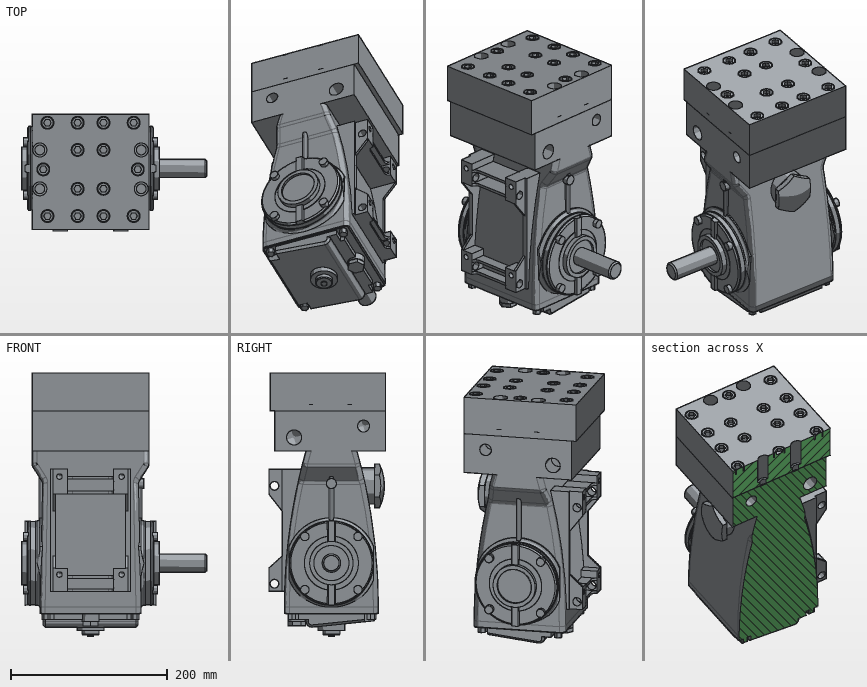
import cadquery as cq
import math


head_half_width = 74.6
head_back_y = 69.3
upper_front_y = -78.2
lower_front_y = -72.4
head_top_z = 242.7
head_split_z = 194.4
head_bottom_z = 142.8

screw_rows_center_y = -1.2
screw_outer_x = 55.0
screw_inner_x = 16.5
screw_middle_x = 60.3
screw_outer_y = 59.5
screw_inner_y = 24.8
screw_recess_radius = 8.2
screw_head_radius = 7.2
screw_recess_depth = 8.0
screw_socket_size = 9.6
screw_socket_depth = 5.0

bore_x = 64.7
bore_radius = 8.9
bore_depth = 40.0
bore_pilot_radius = 6.2

ports = [(41.0, 174.9, 7.6), (-47.6, 160.3, 9.6)]
port_depth = 30.0
drill_tip_angle = 118.0

shoulder_low_z = 124.0
waist_z = 103.0
waist_half_width = 61.1
base_half_width = 64.5
base_half_depth = 60.1
base_top_z = -56.1
base_bottom_z = -64.2
side_arc_radius = 735.0
case_corner_radius = 6.5
case_bend_radius = 8.0

side_rib_half_thickness = 3.0
side_rib_edge_radius = 2.0
side_rib_x = 65.9
side_rib_top_z = 116.0

boss_radius = 53.9
boss_flare_radius = 4.0
boss_flare_end_x = 68.2
boss_end_x = 76.8
boss_groove_x = 70.2
boss_groove_depth = 0.5
cover_face_x = 80.4
cover_rim_chamfer = 2.0
hub_radius = 27.7
hub_face_x = 87.8
hub_recess_radius = 22.4
hub_recess_depth = 3.0
collar_radius = 34.5
collar_height = 0.7
cover_rib_half_width = 5.3
cover_rib_top_half_width = 3.9
cover_rib_face_x = 83.7
cover_screw_radius = 5.4
cover_screw_circle_radius = 48.0
cover_screw_face_x = 85.7

shaft_radius = 11.8
shaft_end_x = 148.3
shaft_chamfer = 2.0

foot_front_y = -79.9
foot_outer_x = 48.1
foot_inner_x = 29.4
upper_foot_top_z = 119.9
upper_foot_bottom_z = 88.4
lower_foot_top_z = -6.8
lower_foot_bottom_z = -36.2
rail_front_y = -63.0
rail_outer_x = 51.2
rail_inner_x = 44.8
upper_gusset_run_z = 22.0
lower_gusset_run_z = 15.8
gusset_tip_run_z = 0.5
shelf_thickness = 3.4
shelf_fillet = 6.4
upper_shelf_top_z = 110.5
lower_shelf_top_z = -16.0
cross_hole_radius = 5.4
cross_hole_y = -72.7
cross_hole_z = [98.6, -26.3]
foot_hole_radius = 3.5
foot_hole_depth = 10.0
foot_hole_x = 39.7
foot_hole_z = [110.4, -14.6]

filler_z = 98.5
filler_neck_radius = 23.3
filler_cap_radius = 28.0
filler_cap_start_y = 55.1
filler_cap_flat_y = 61.3
filler_cap_apex_y = 68.0

plug_radius = 6.4
plug_z = 101.5
plug_end_x = 68.0

sump_flange_half_width = 62.5
sump_flange_half_depth = 57.9
sump_flange_thickness = 1.0
sump_half_width = 60.8
sump_back_y = 57.2
sump_front_y = -47.5
sump_back_z = -73.8
sump_low_y = -25.0
sump_low_z = -81.9
sump_step_y = -32.5
sump_shelf_z = -72.2
sump_edge_chamfer = 3.0
sump_notch_x = 46.5
sump_notch_y = 42.0
sump_bolt_x = 56.8
sump_bolt_y = 50.2
sump_bolt_size = 10.4
sump_bolt_bottom_z = -72.2
gauge_flange_radius = 17.2
gauge_flange_bottom_z = -86.3
gauge_radius = 11.0
gauge_bottom_z = -92.0
gauge_chamfer = 1.2
gauge_tip_radius = 4.0
gauge_tip_bottom_z = -93.45
drain_y = -44.3
drain_boss_radius = 11.0
drain_boss_bottom_z = -74.8
drain_hex_size = 22.5
drain_hex_bottom_z = -80.2

selection_margin = 0.5


def box(x_range, y_range, z_range):
    """Block spanning the given ranges."""
    (x0, x1), (y0, y1), (z0, z1) = x_range, y_range, z_range
    return cq.Workplane("XY").box(x1 - x0, y1 - y0, z1 - z0, centered=False).translate((x0, y0, z0))


def cylinder_x(radius, x0, x1, y=0.0, z=0.0):
    return cq.Workplane("YZ", origin=(x0, y, z)).circle(radius).extrude(x1 - x0)


def cylinder_z(radius, z0, z1, x=0.0, y=0.0):
    return cq.Workplane("XY", origin=(x, y, z0)).circle(radius).extrude(z1 - z0)


def hexagon_z(size, z0, z1, x=0.0, y=0.0, turn=0.0):
    """Hexagonal bar along Z, `size` across the corners, turned about its own axis."""
    bar = cq.Workplane("XY").polygon(6, size).extrude(z1 - z0)
    return bar.rotate((0, 0, 0), (0, 0, 1), turn).translate((x, y, z0))


def drilled_hole(radius, depth):
    """Blind hole with a conical tip, starting at the origin and running along +Z."""
    tip = radius / math.tan(math.radians(drill_tip_angle / 2))
    outline = [(0, 0), (radius, 0), (radius, depth), (0, depth + tip)]
    return cq.Workplane("XZ").polyline(outline).close().revolve(360, (0, 0, 0), (0, 1, 0))


def both_sides(shape):
    """The shape together with its mirror image across X = 0."""
    return shape.union(shape.mirror("YZ"))


def screw_places():
    places = []
    for side in (-1, 1):
        for row in (-1, 1):
            places.append((side * screw_outer_x, screw_rows_center_y + row * screw_outer_y))
            places.append((side * screw_inner_x, screw_rows_center_y + row * screw_outer_y))
            places.append((side * screw_inner_x, screw_rows_center_y + row * screw_inner_y))
        places.append((side * screw_middle_x, screw_rows_center_y))
    return places


def make_upper_block():
    block = box(
        (-head_half_width, head_half_width),
        (upper_front_y, head_back_y),
        (head_split_z, head_top_z),
    )
    recess_floor_z = head_top_z - screw_recess_depth
    for x, y in screw_places():
        gap = cylinder_z(screw_recess_radius, recess_floor_z, head_top_z, x, y)
        gap = gap.cut(cylinder_z(screw_head_radius, recess_floor_z, head_top_z, x, y))
        socket = hexagon_z(screw_socket_size, head_top_z - screw_socket_depth, head_top_z, x, y)
        block = block.cut(gap).cut(socket)
    for side in (-1, 1):
        for row in (-1, 1):
            x = side * bore_x
            y = screw_rows_center_y + row * screw_inner_y
            block = block.cut(cylinder_z(bore_radius, head_top_z - bore_depth, head_top_z, x, y))
            block = block.cut(cylinder_z(bore_pilot_radius, head_split_z, head_top_z, x, y))
    return block


def make_lower_block():
    block = box(
        (-head_half_width, head_half_width),
        (lower_front_y, head_back_y),
        (head_bottom_z, head_split_z),
    )
    for y, z, radius in ports:
        port = drilled_hole(radius, port_depth).rotate((0, 0, 0), (0, 1, 0), 90)
        block = block.cut(both_sides(port.translate((-head_half_width, y, z))))
    return block


def side_arc_half_depth(z):
    """Half depth of the crankcase at height z above the base band."""
    rise = z - base_top_z
    return base_half_depth - side_arc_radius + math.sqrt(side_arc_radius**2 - rise**2)


def make_side_profile():
    """Crankcase outline across Y, extruded well past the X walls."""
    middle_z = (base_top_z + head_bottom_z) / 2
    top_half_depth = side_arc_half_depth(head_bottom_z)
    middle_half_depth = side_arc_half_depth(middle_z)
    return (
        cq.Workplane("YZ")
        .moveTo(-base_half_depth, base_bottom_z)
        .lineTo(base_half_depth, base_bottom_z)
        .lineTo(base_half_depth, base_top_z)
        .threePointArc((middle_half_depth, middle_z), (top_half_depth, head_bottom_z))
        .lineTo(-top_half_depth, head_bottom_z)
        .threePointArc((-middle_half_depth, middle_z), (-base_half_depth, base_top_z))
        .close()
        .extrude(2 * head_half_width, both=True)
    )


def make_case():
    right_edge = [
        (base_half_width, base_bottom_z),
        (base_half_width, base_top_z),
        (waist_half_width, waist_z),
        (head_half_width, shoulder_low_z),
        (head_half_width, head_bottom_z),
    ]
    left_edge = [(-x, z) for x, z in reversed(right_edge)]
    front_profile = (
        cq.Workplane("XZ")
        .polyline(right_edge + left_edge)
        .close()
        .extrude(2 * base_half_depth, both=True)
    )
    bend_zone = cq.selectors.BoxSelector(
        (-2 * head_half_width, -3 * base_half_depth, waist_z - selection_margin),
        (2 * head_half_width, 3 * base_half_depth, shoulder_low_z + selection_margin),
    )
    front_profile = front_profile.edges("|Y").edges(bend_zone).fillet(case_bend_radius)
    case = front_profile.intersect(make_side_profile())
    return case.edges("not(#Z or |Y or |X)").fillet(case_corner_radius)


def make_bearing_cover():
    """Round boss with its cover; the flare at its foot is trimmed level with the boss in Y."""
    flare_radius = boss_radius + boss_flare_radius
    flare_drop = boss_flare_radius * (1 - math.sqrt(0.5))
    groove_radius = boss_radius - boss_groove_depth
    rim_radius = boss_radius - cover_rim_chamfer
    hub_floor_x = hub_face_x - hub_recess_depth
    cover = (
        cq.Workplane("XY")
        .moveTo(0, 0)
        .lineTo(0, flare_radius)
        .lineTo(boss_flare_end_x - boss_flare_radius, flare_radius)
        .threePointArc(
            (boss_flare_end_x - boss_flare_radius + flare_drop, boss_radius + flare_drop),
            (boss_flare_end_x, boss_radius),
        )
        .lineTo(boss_groove_x, boss_radius)
        .lineTo(boss_groove_x, groove_radius)
        .lineTo(boss_end_x, groove_radius)
        .lineTo(boss_end_x, boss_radius)
        .lineTo(cover_face_x - cover_rim_chamfer, boss_radius)
        .lineTo(cover_face_x, rim_radius)
        .lineTo(cover_face_x, collar_radius)
        .lineTo(cover_face_x + collar_height, collar_radius)
        .lineTo(cover_face_x + collar_height, hub_radius)
        .lineTo(hub_face_x, hub_radius)
        .lineTo(hub_face_x, hub_recess_radius)
        .lineTo(hub_floor_x, hub_recess_radius)
        .lineTo(hub_floor_x, 0)
        .close()
        .revolve(360, (0, 0, 0), (1, 0, 0))
    )
    slab = box((0, hub_face_x), (-boss_radius, boss_radius), (-flare_radius, flare_radius))
    cover = cover.intersect(slab)
    for turn in (45, 135, 225, 315):
        y = cover_screw_circle_radius * math.cos(math.radians(turn))
        z = cover_screw_circle_radius * math.sin(math.radians(turn))
        cover = cover.union(cylinder_x(cover_screw_radius, boss_end_x, cover_screw_face_x, y, z))
    return cover.union(make_cover_ribs())


def make_cover_ribs():
    """Tapered ribs running up and down from the hub to the rim."""
    outline = [
        (boss_end_x, -cover_rib_half_width),
        (cover_face_x, -cover_rib_half_width),
        (cover_rib_face_x, -cover_rib_top_half_width),
        (cover_rib_face_x, cover_rib_top_half_width),
        (cover_face_x, cover_rib_half_width),
        (boss_end_x, cover_rib_half_width),
    ]
    bar = cq.Workplane("XY").polyline(outline).close().extrude(boss_radius, both=True)
    ring = cylinder_x(boss_radius, boss_end_x, cover_rib_face_x)
    ring = ring.cut(cylinder_x(hub_recess_radius, boss_end_x, cover_rib_face_x))
    return bar.intersect(ring)


def make_side_rib():
    rib = box(
        (waist_half_width - case_corner_radius, side_rib_x),
        (-side_rib_half_thickness, side_rib_half_thickness),
        (0, side_rib_top_z),
    )
    return rib.edges("|Z and >X").fillet(side_rib_edge_radius)


def make_shaft():
    return cylinder_x(shaft_radius, 0, shaft_end_x).faces(">X").chamfer(shaft_chamfer)


def make_shelf(top_z):
    """Thin shelf between two feet, its front edge curving out to the foot corners."""
    straight_x = foot_inner_x - shelf_fillet
    shelf_y = foot_front_y + shelf_fillet
    drop = shelf_fillet * (1 - math.sqrt(0.5))
    return (
        cq.Workplane("XY", origin=(0, 0, top_z - shelf_thickness))
        .moveTo(-foot_inner_x, 0)
        .lineTo(-foot_inner_x, foot_front_y)
        .threePointArc((drop - foot_inner_x, shelf_y - drop), (-straight_x, shelf_y))
        .lineTo(straight_x, shelf_y)
        .threePointArc((foot_inner_x - drop, shelf_y - drop), (foot_inner_x, foot_front_y))
        .lineTo(foot_inner_x, 0)
        .close()
        .extrude(shelf_thickness)
    )


def make_gusset(foot_edge_z, tip_run_z, run_z):
    """Web tapering from a foot onto the rail; negative runs go down from the foot."""
    outline = [
        (0, foot_edge_z),
        (foot_front_y, foot_edge_z),
        (foot_front_y, foot_edge_z + tip_run_z),
        (rail_front_y, foot_edge_z + run_z),
        (0, foot_edge_z + run_z),
    ]
    web = cq.Workplane("YZ", origin=(rail_inner_x, 0, 0)).polyline(outline).close()
    return web.extrude(foot_outer_x - rail_inner_x)


def make_mount():
    side = box((rail_inner_x, rail_outer_x), (rail_front_y, 0), (lower_foot_bottom_z, upper_foot_top_z))
    for z_range in (
        (upper_foot_bottom_z, upper_foot_top_z),
        (lower_foot_bottom_z, lower_foot_top_z),
    ):
        side = side.union(box((foot_inner_x, foot_outer_x), (foot_front_y, 0), z_range))
    side = side.union(make_gusset(upper_foot_bottom_z, -gusset_tip_run_z, -upper_gusset_run_z))
    side = side.union(make_gusset(lower_foot_top_z, gusset_tip_run_z, lower_gusset_run_z))
    mount = both_sides(side)
    for top_z in (
        upper_shelf_top_z,
        upper_foot_bottom_z + shelf_thickness,
        lower_shelf_top_z,
        lower_foot_bottom_z + shelf_thickness,
    ):
        mount = mount.union(make_shelf(top_z))
    return mount


def make_mount_holes():
    """Cross holes along X and blind holes in the front faces of the feet."""
    holes = cq.Workplane("XY")
    for z in cross_hole_z:
        holes = holes.union(cylinder_x(cross_hole_radius, -foot_outer_x, foot_outer_x, cross_hole_y, z))
    blind_hole = drilled_hole(foot_hole_radius, foot_hole_depth).rotate((0, 0, 0), (1, 0, 0), -90)
    for z in foot_hole_z:
        holes = holes.union(both_sides(blind_hole.translate((foot_hole_x, foot_front_y, z))))
    return holes


def make_filler():
    """Neck and domed hexagonal cap on the back of the crankcase."""
    plane = cq.Plane(origin=(0, 0, filler_z), xDir=(0, 0, 1), normal=(0, 1, 0))
    neck = cq.Workplane(plane).circle(filler_neck_radius).extrude(filler_cap_start_y)
    hexagon = (
        cq.Workplane(plane)
        .workplane(offset=filler_cap_start_y)
        .polygon(6, 2 * filler_cap_radius)
        .extrude(filler_cap_apex_y - filler_cap_start_y)
    )
    dome_height = filler_cap_apex_y - filler_cap_flat_y
    dome_radius = (filler_cap_radius**2 + dome_height**2) / (2 * dome_height)
    dome = cq.Workplane("XY").sphere(dome_radius)
    dome = dome.translate((0, filler_cap_apex_y - dome_radius, filler_z))
    return neck.union(hexagon.intersect(dome))


def make_wall_plug():
    return cylinder_x(plug_radius, 0, plug_end_x, 0, plug_z)


def make_sump_pan():
    """Pan with a sloping floor, a rounded step up to the drain shelf and relieved corners."""
    step_radius = sump_low_y - sump_step_y
    arc_offset = step_radius * math.sqrt(0.5)
    step_center_z = sump_low_z + step_radius
    pan = (
        cq.Workplane("YZ")
        .moveTo(sump_back_y, base_bottom_z)
        .lineTo(sump_back_y, sump_back_z + sump_edge_chamfer)
        .lineTo(sump_back_y - sump_edge_chamfer, sump_back_z)
        .lineTo(sump_low_y, sump_low_z)
        .threePointArc((sump_low_y - arc_offset, step_center_z - arc_offset), (sump_step_y, step_center_z))
        .lineTo(sump_step_y, sump_shelf_z)
        .lineTo(sump_front_y, sump_shelf_z)
        .lineTo(sump_front_y, base_bottom_z)
        .close()
        .extrude(sump_half_width, both=True)
    )
    floor_zone = cq.selectors.BoxSelector(
        (-2 * sump_half_width, sump_step_y + selection_margin, sump_low_z - selection_margin),
        (2 * sump_half_width, sump_back_y - sump_edge_chamfer, sump_back_z),
    )
    pan = pan.faces("<X or >X").edges(floor_zone).chamfer(sump_edge_chamfer)
    corner = box(
        (sump_notch_x, sump_half_width),
        (sump_notch_y, sump_back_y),
        (sump_low_z, base_bottom_z),
    )
    corners = corner.union(corner.mirror("XZ"))
    return pan.cut(both_sides(corners))


def make_sump():
    flange = box(
        (-sump_flange_half_width, sump_flange_half_width),
        (-sump_flange_half_depth, sump_flange_half_depth),
        (base_bottom_z - sump_flange_thickness, base_bottom_z),
    )
    sump = flange.union(make_sump_pan())
    for x in (-sump_bolt_x, sump_bolt_x):
        for y in (-sump_bolt_y, sump_bolt_y):
            sump = sump.union(hexagon_z(sump_bolt_size, sump_bolt_bottom_z, base_bottom_z, x, y))
    return sump.union(make_oil_gauge()).union(make_drain_plug())


def make_oil_gauge():
    gauge = cylinder_z(gauge_radius, gauge_bottom_z, base_bottom_z).faces("<Z").chamfer(gauge_chamfer)
    gauge = gauge.union(cylinder_z(gauge_flange_radius, gauge_flange_bottom_z, base_bottom_z))
    return gauge.union(cylinder_z(gauge_tip_radius, gauge_tip_bottom_z, base_bottom_z))


def make_drain_plug():
    boss = cylinder_z(drain_boss_radius, drain_boss_bottom_z, base_bottom_z, y=drain_y)
    plug = hexagon_z(drain_hex_size, drain_hex_bottom_z, drain_boss_bottom_z, y=drain_y, turn=90)
    return boss.union(plug)


def make_pump_body():
    """Crankcase with the lower head block and everything attached to it."""
    body = make_case().union(make_lower_block())
    body = body.union(make_mount()).cut(make_mount_holes())
    body = body.union(both_sides(make_bearing_cover()))
    body = body.union(both_sides(make_side_rib()))
    body = body.union(make_shaft())
    body = body.union(make_filler()).union(make_wall_plug())
    return body.union(make_sump())


upper_block = make_upper_block()
pump_body = make_pump_body()
result = cq.Compound.makeCompound([upper_block.val(), pump_body.val()])